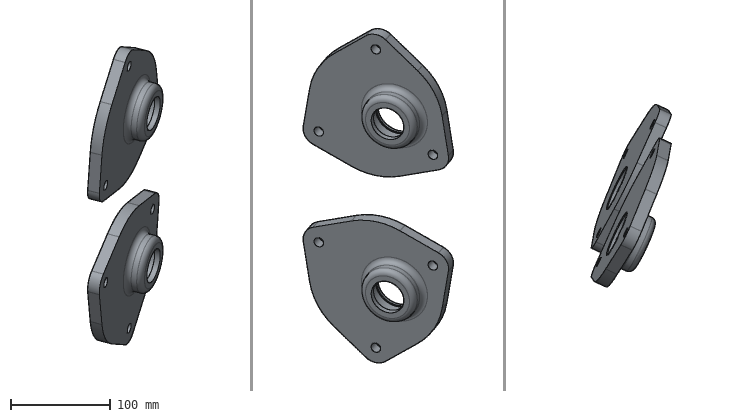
import cadquery as cq
import math

plate_thickness = 13.0
plate_diameter = 146.5
plate_radius = plate_diameter / 2
bolt_circle_diameter = 144.0
bolt_circle_radius = bolt_circle_diameter / 2
lug_diameter = 34.5
lug_radius = lug_diameter / 2
bolt_hole_diameter = 10.2
lug_count = 3
lug_spacing = 360 / lug_count

overall_depth = 31.0
boss_diameter = 60.0
boss_radius = boss_diameter / 2
boss_fillet = 6.0
boss_offset = 20.5

through_radius = 17.8
seat_radius = 23.0
seat_depth = 25.0
mouth_chamfer = 0.95

groove_radius = 24.5
groove_start = 4.5
groove_width = 2.0

overall_height = 378
flange_centre_z = overall_height / 2 - bolt_circle_radius - lug_radius


def polar(radius, angle):
    """Point in the YZ plane, with the angle in degrees measured from +Y."""
    return radius * math.cos(math.radians(angle)), radius * math.sin(math.radians(angle))


def lug_point(lug_angle, normal_angle):
    """Point on the rounded end of a lug where the outward normal has the given angle."""
    centre_y, centre_z = polar(bolt_circle_radius, lug_angle)
    offset_y, offset_z = polar(lug_radius, normal_angle)
    return centre_y + offset_y, centre_z + offset_z


def flange_plate(tip_angle):
    """Plate outlined by lug arcs, round flanks and their common tangents."""
    tangent_angle = math.degrees(math.acos((plate_radius - lug_radius) / bolt_circle_radius))
    lug_angles = [tip_angle + lug_spacing * i for i in range(lug_count)]

    outline = cq.Workplane("YZ").moveTo(*lug_point(tip_angle, tip_angle - tangent_angle))
    for angle in lug_angles:
        outline = outline.threePointArc(
            lug_point(angle, angle), lug_point(angle, angle + tangent_angle)
        )
        outline = outline.lineTo(*polar(plate_radius, angle + tangent_angle))
        next_angle = angle + lug_spacing
        outline = outline.threePointArc(
            polar(plate_radius, angle + lug_spacing / 2),
            polar(plate_radius, next_angle - tangent_angle),
        )
        if angle != lug_angles[-1]:
            outline = outline.lineTo(*lug_point(next_angle, next_angle - tangent_angle))
    plate = outline.close().extrude(plate_thickness)

    bolt_holes = (
        cq.Workplane("YZ")
        .pushPoints([polar(bolt_circle_radius, angle) for angle in lug_angles])
        .circle(bolt_hole_diameter / 2)
        .extrude(plate_thickness)
    )
    return plate.cut(bolt_holes)


def boss():
    """Turned boss with a rounded rim and a concave fillet at its root."""
    diagonal = boss_fillet * math.sqrt(0.5)
    root_x = plate_thickness + boss_fillet
    root_radius = boss_radius + boss_fillet
    rim_x = overall_depth - boss_fillet
    rim_radius = boss_radius - boss_fillet
    return (
        cq.Workplane("XY")
        .lineTo(0, root_radius)
        .lineTo(plate_thickness, root_radius)
        .threePointArc((root_x - diagonal, root_radius - diagonal), (root_x, boss_radius))
        .lineTo(rim_x, boss_radius)
        .threePointArc((rim_x + diagonal, rim_radius + diagonal), (overall_depth, rim_radius))
        .lineTo(overall_depth, 0)
        .close()
        .revolve(360, (0, 0, 0), (1, 0, 0))
        .translate((0, boss_offset, 0))
    )


def bore():
    """Cutter for the chamfered bearing seat, its ring groove and the through hole."""
    mouth_radius = seat_radius + mouth_chamfer
    groove_end = groove_start + groove_width
    return (
        cq.Workplane("XY")
        .lineTo(0, mouth_radius)
        .lineTo(mouth_chamfer, seat_radius)
        .lineTo(groove_start, seat_radius)
        .lineTo(groove_start, groove_radius)
        .lineTo(groove_end, groove_radius)
        .lineTo(groove_end, seat_radius)
        .lineTo(seat_depth, seat_radius)
        .lineTo(seat_depth, through_radius)
        .lineTo(overall_depth, through_radius)
        .lineTo(overall_depth, 0)
        .close()
        .revolve(360, (0, 0, 0), (1, 0, 0))
        .translate((0, boss_offset, 0))
    )


def bearing_flange(tip_angle, centre_z):
    """One complete flange whose tip lug points along tip_angle."""
    flange = flange_plate(tip_angle).union(boss()).cut(bore())
    return flange.translate((0, 0, centre_z))


flanges = []
for tip_angle, side in [(90, 1), (-90, -1)]:
    flanges.append(bearing_flange(tip_angle, side * flange_centre_z))

result = cq.Compound.makeCompound([flange.val() for flange in flanges])